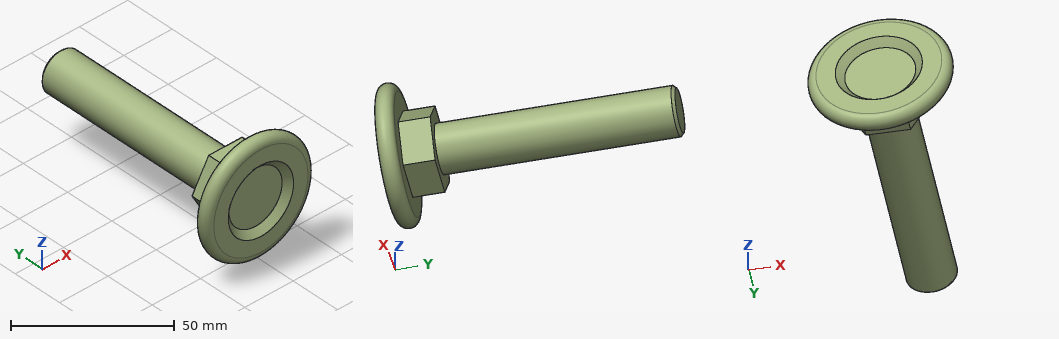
import cadquery as cq
import math

total_length = 91.0
foot_diameter = 45.0
foot_thickness = 6.0
hex_across_flats = 24.0
hex_height = 10.0
rod_diameter = 16.0
rod_chamfer = 1.0
recess_mouth_diameter = 27.0
recess_floor_diameter = 22.0
recess_depth = 2.5

rim_radius = foot_thickness / 2
foot_flat_radius = foot_diameter / 2 - rim_radius
hex_top = foot_thickness + hex_height
rod_length = total_length - hex_top
hex_across_corners = hex_across_flats / math.cos(math.pi / 6)


def plane_at(y):
    """Plane across the bolt axis, facing +Y, with its local x along +X."""
    return cq.Plane(origin=(0, y, 0), xDir=(1, 0, 0), normal=(0, 1, 0))


def make_foot():
    """Disc with a fully rounded rim."""
    return (
        cq.Workplane("XY")
        .lineTo(foot_flat_radius, 0)
        .threePointArc((foot_diameter / 2, rim_radius), (foot_flat_radius, foot_thickness))
        .lineTo(0, foot_thickness)
        .close()
        .revolve(360, (0, 0, 0), (0, 1, 0))
    )


def make_hex():
    """Hexagon with two corners on the X axis."""
    return cq.Workplane(plane_at(foot_thickness)).polygon(6, hex_across_corners).extrude(hex_height)


def make_rod():
    """Plain round rod with a chamfered free end."""
    return (
        cq.Workplane(plane_at(hex_top))
        .circle(rod_diameter / 2)
        .extrude(rod_length)
        .faces(">Y")
        .chamfer(rod_chamfer)
    )


def make_recess():
    """Conical recess in the foot face, narrowing to a flat floor."""
    return (
        cq.Workplane(plane_at(0))
        .circle(recess_mouth_diameter / 2)
        .workplane(offset=recess_depth)
        .circle(recess_floor_diameter / 2)
        .loft(ruled=True)
    )


result = make_foot().union(make_hex()).union(make_rod()).cut(make_recess())